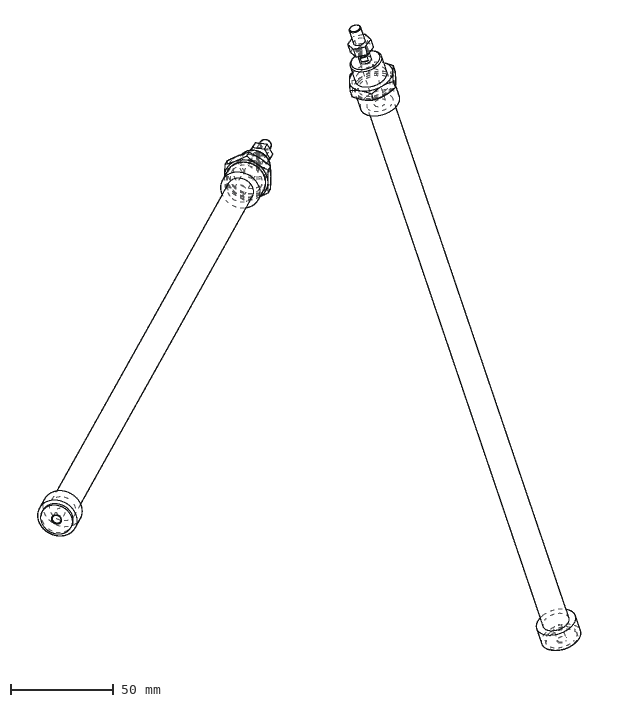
import cadquery as cq
import math

overall_length = 390.0
rod_tip_y = overall_length / 2
rear_end_y = -overall_length / 2

tube_diameter = 13.3
cap_diameter = 20.0
cap_chamfer = 0.5
neck_diameter = 16.0
neck_chamfer = 0.8
rear_cap_length = 9.8
rear_boss_length = 1.5
front_cap_length = 11.0
neck_length = 16.5
port_diameter = 4.3
port_depth = 7.8
port_chamfer = 0.5
port_tip_angle = 118.0

rod_diameter = 6.0
rod_exposed_length = 20.3
rod_tip_chamfer = 0.5
thread_end_from_nut = 0.8
thread_groove_diameter = 5.0
thread_groove_width = 0.8
wrench_flat_width = 4.5
wrench_flat_length = 2.7
wrench_flat_from_neck = 1.0

mounting_nut_width = 22.0
mounting_nut_thickness = 6.0
rod_nut_width = 10.0
rod_nut_thickness = 5.0
rod_nut_from_tip = 8.5
nut_chamfer_angle = 30.0

neck_end_y = rod_tip_y - rod_exposed_length
front_cap_face_y = neck_end_y - neck_length
front_cap_back_y = front_cap_face_y - front_cap_length
rear_cap_end_y = rear_end_y + rear_boss_length
rear_cap_face_y = rear_cap_end_y + rear_cap_length
rod_inner_y = front_cap_back_y
rod_nut_y = rod_tip_y - rod_nut_from_tip - rod_nut_thickness


def cylinder(diameter, start_y, end_y):
    """Solid cylinder on the Y axis."""
    base = cq.Workplane("XZ", origin=(0, start_y, 0))
    return base.circle(diameter / 2).extrude(start_y - end_y)


def make_housing():
    """Tube with its end caps, threaded neck, rod bore and rear port."""
    front_cap = cylinder(cap_diameter, front_cap_back_y, front_cap_face_y)
    front_cap = front_cap.faces(">Y").chamfer(cap_chamfer)
    neck = cylinder(neck_diameter, front_cap_face_y, neck_end_y).faces(">Y").chamfer(neck_chamfer)
    housing = cylinder(tube_diameter, rear_cap_face_y, front_cap_back_y)
    housing = housing.union(front_cap)
    housing = housing.union(neck)
    housing = housing.union(cylinder(cap_diameter, rear_cap_end_y, rear_cap_face_y))
    housing = housing.union(cylinder(neck_diameter, rear_end_y, rear_cap_end_y))
    housing = housing.cut(cylinder(rod_diameter, rod_inner_y, neck_end_y))
    return housing.cut(make_port())


def make_port():
    """Volume of the rear port: chamfered mouth, straight bore and drill-point bottom."""
    radius = port_diameter / 2
    bottom_y = rear_end_y + port_depth
    tip_y = bottom_y + radius / math.tan(math.radians(port_tip_angle / 2))
    return (
        cq.Workplane("XY")
        .moveTo(0, rear_end_y)
        .lineTo(radius + port_chamfer, rear_end_y)
        .lineTo(radius, rear_end_y + port_chamfer)
        .lineTo(radius, bottom_y)
        .lineTo(0, tip_y)
        .close()
        .revolve(360, (0, 0, 0), (0, 1, 0))
    )


def make_rod():
    """Piston rod with a chamfered tip, a thread-end groove and two wrench flats facing +Z and -Z."""
    rod = cylinder(rod_diameter, rod_inner_y, rod_tip_y).faces(">Y").chamfer(rod_tip_chamfer)
    groove_end_y = rod_nut_y - thread_end_from_nut
    groove_start_y = groove_end_y - thread_groove_width
    groove = cylinder(rod_diameter, groove_start_y, groove_end_y)
    rod = rod.cut(groove.cut(cylinder(thread_groove_diameter, groove_start_y, groove_end_y)))
    flat_center_y = neck_end_y + wrench_flat_from_neck + wrench_flat_length / 2
    for side in (1, -1):
        cutter = cq.Workplane("XY").box(rod_diameter, wrench_flat_length, rod_diameter)
        cutter_z = side * (wrench_flat_width + rod_diameter) / 2
        rod = rod.cut(cutter.translate((0, flat_center_y, cutter_z)))
    return rod


def plain_nut(width, thickness, bore_diameter, start_y, turn):
    """Hexagon nut with corners on the X axis, turned about Y by the given angle."""
    hexagon = (
        cq.Workplane("XZ", origin=(0, start_y, 0))
        .polygon(6, 2 * width / math.sqrt(3))
        .extrude(-thickness)
        .rotate((0, 0, 0), (0, 1, 0), turn)
    )
    return hexagon.cut(cylinder(bore_diameter, start_y, start_y + thickness))


def make_mounting_nut():
    """Neck nut with corners up and down, its corners chamfered on both faces."""
    start_y = front_cap_face_y
    end_y = start_y + mounting_nut_thickness
    flat_radius = mounting_nut_width / 2
    corner_radius = mounting_nut_width / math.sqrt(3)
    drop = (corner_radius - flat_radius) * math.tan(math.radians(nut_chamfer_angle))
    envelope = (
        cq.Workplane("XY")
        .moveTo(0, start_y)
        .lineTo(flat_radius, start_y)
        .lineTo(corner_radius, start_y + drop)
        .lineTo(corner_radius, end_y - drop)
        .lineTo(flat_radius, end_y)
        .lineTo(0, end_y)
        .close()
        .revolve(360, (0, 0, 0), (0, 1, 0))
    )
    nut = plain_nut(mounting_nut_width, mounting_nut_thickness, neck_diameter, start_y, 90)
    return nut.intersect(envelope)


def make_rod_nut():
    """Plain nut near the rod tip, with corners facing +X and -X."""
    return plain_nut(rod_nut_width, rod_nut_thickness, rod_diameter, rod_nut_y, 0)


housing = make_housing()
rod = make_rod()
mounting_nut = make_mounting_nut()
rod_nut = make_rod_nut()

result = cq.Compound.makeCompound(
    [housing.val(), rod.val(), mounting_nut.val(), rod_nut.val()]
)